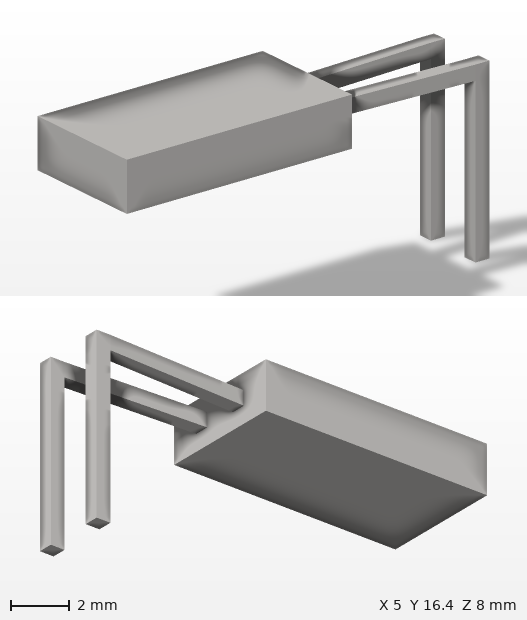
import cadquery as cq

body_width = 5.0
body_length = 9.7
body_height = 2.0

wire = 0.6
lead_reach = 6.65
root_pitch = 2.0
leg_pitch = 2.5
leg_drop = 6.0

wire_bottom = (body_height - wire) / 2
wire_top = wire_bottom + wire
leg_front = lead_reach - wire


def make_body():
    """Block with its back face on Y = 0 and its underside on Z = 0."""
    return cq.Workplane("XY").box(
        body_width, body_length, body_height, centered=(True, False, False)
    ).translate((0, -body_length, 0))


def make_lead(side):
    """One bent lead; side is -1 for the -X lead and +1 for the +X lead."""
    root_x = side * root_pitch / 2
    leg_x = side * leg_pitch / 2
    half = wire / 2
    arm = (
        cq.Workplane("XY")
        .workplane(offset=wire_bottom)
        .polyline([
            (root_x - half, 0),
            (root_x + half, 0),
            (leg_x + half, leg_front),
            (leg_x - half, leg_front),
        ])
        .close()
        .extrude(wire)
    )
    leg = (
        cq.Workplane("XY")
        .workplane(offset=-leg_drop)
        .center(leg_x, leg_front + half)
        .rect(wire, wire)
        .extrude(leg_drop + wire_top)
    )
    return arm.union(leg)


result = make_body()
for side in (-1, 1):
    result = result.union(make_lead(side))